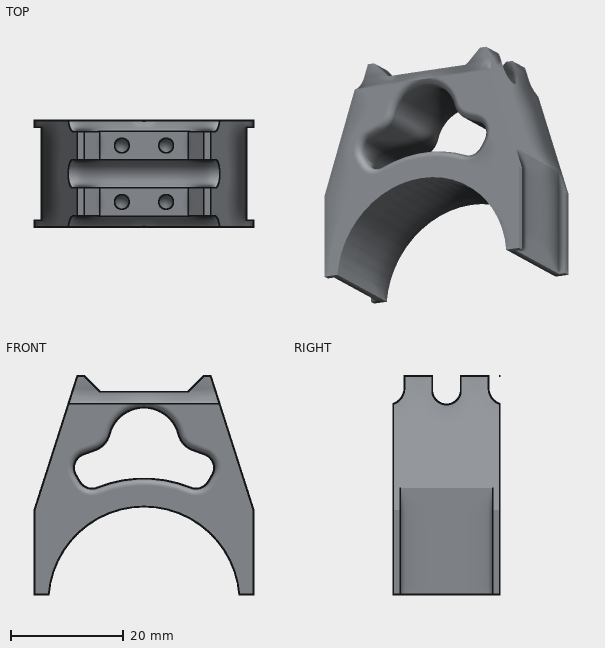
import cadquery as cq
import math

width = 39.09
depth = 19.05
height = 39.0

shoulder_height = 15.1
top_half_width = 11.9
floor_drop = 2.8
horn_top_width = 1.25
floor_height = height - floor_drop
horn_inner_x = top_half_width - horn_top_width
floor_half_width = horn_inner_x - floor_drop

bore_radius = 17.03
bore_center_z = -1.35

flange_thickness = 1.25
recess_depth = 1.25

middle_groove_radius = 2.54
middle_groove_center_z = height - middle_groove_radius
land_outer_y = 7.52
end_groove_radius = 2.95
end_groove_center_y = land_outer_y + end_groove_radius
end_groove_center_z = 36.8

dimple_radius = 1.3
dimple_x = 3.95
dimple_y = (middle_groove_radius + land_outer_y) / 2

dome_radius = 6.33
dome_center_z = 27.0
arch_radius = 22.07
lobe_radius = 2.54
lower_lobe_x = 9.25
upper_lobe_x = 9.93
upper_lobe_z = 22.6
brow_angle = math.radians(20)
neck_radius = 4.1
window_fillet = 1.27

chip_size = 0.05


def along(start, direction, distance):
    return (start[0] + distance * direction[0], start[1] + distance * direction[1])


def unit(start, end):
    length = math.dist(start, end)
    return ((end[0] - start[0]) / length, (end[1] - start[1]) / length)


def arc_middle(center, radius, start, end):
    """Middle of the shorter arc from start to end about center."""
    chord_middle = ((start[0] + end[0]) / 2, (start[1] + end[1]) / 2)
    return along(center, unit(center, chord_middle), radius)


def mirrored(point):
    return (-point[0], point[1])


def extrude_along_y(outline):
    """Extrude an outline on the XZ plane over the full depth, centred on Y = 0."""
    return outline.extrude(depth / 2, both=True)


def make_outer_block():
    right_side = [
        (width / 2, 0),
        (width / 2, shoulder_height),
        (top_half_width, height),
        (horn_inner_x, height),
        (floor_half_width, floor_height),
    ]
    left_side = [mirrored(point) for point in reversed(right_side)]
    return extrude_along_y(cq.Workplane("XZ").polyline(right_side + left_side).close())


def make_bore():
    return extrude_along_y(cq.Workplane("XZ").center(0, bore_center_z).circle(bore_radius))


def make_window():
    bore_center = (0, bore_center_z)
    dome_center = (0, dome_center_z)

    lower_reach = arch_radius + lobe_radius
    lower_lobe = (lower_lobe_x, bore_center_z + math.sqrt(lower_reach**2 - lower_lobe_x**2))
    upper_lobe = (upper_lobe_x, upper_lobe_z)

    brow_normal = (math.sin(brow_angle), math.cos(brow_angle))
    brow_inward = (-math.cos(brow_angle), math.sin(brow_angle))
    neck_base = along(upper_lobe, brow_normal, lobe_radius + neck_radius)
    to_dome = (dome_center[0] - neck_base[0], dome_center[1] - neck_base[1])
    foot = to_dome[0] * brow_inward[0] + to_dome[1] * brow_inward[1]
    offset = to_dome[0] * brow_normal[0] + to_dome[1] * brow_normal[1]
    neck_run = foot - math.sqrt((dome_radius + neck_radius) ** 2 - offset**2)
    neck_center = along(neck_base, brow_inward, neck_run)

    arch_end = along(bore_center, unit(bore_center, lower_lobe), arch_radius)
    lobe_axis = unit(lower_lobe, upper_lobe)
    side_normal = (lobe_axis[1], -lobe_axis[0])
    side_bottom = along(lower_lobe, side_normal, lobe_radius)
    side_top = along(upper_lobe, side_normal, lobe_radius)
    brow_outer = along(upper_lobe, brow_normal, lobe_radius)
    brow_inner = along(neck_center, brow_normal, -neck_radius)
    dome_end = along(dome_center, unit(dome_center, neck_center), dome_radius)

    lower_middle = arc_middle(lower_lobe, lobe_radius, arch_end, side_bottom)
    upper_middle = arc_middle(upper_lobe, lobe_radius, side_top, brow_outer)
    neck_middle = arc_middle(neck_center, neck_radius, brow_inner, dome_end)
    dome_top = (0, dome_center_z + dome_radius)
    arch_top = (0, bore_center_z + arch_radius)

    outline = (
        cq.Workplane("XZ")
        .moveTo(*arch_end)
        .threePointArc(lower_middle, side_bottom)
        .lineTo(*side_top)
        .threePointArc(upper_middle, brow_outer)
        .lineTo(*brow_inner)
        .threePointArc(neck_middle, dome_end)
        .threePointArc(dome_top, mirrored(dome_end))
        .threePointArc(mirrored(neck_middle), mirrored(brow_inner))
        .lineTo(*mirrored(brow_outer))
        .threePointArc(mirrored(upper_middle), mirrored(side_top))
        .lineTo(*mirrored(side_bottom))
        .threePointArc(mirrored(lower_middle), mirrored(arch_end))
        .threePointArc(arch_top, arch_end)
        .close()
    )
    return extrude_along_y(outline)


def cut_filleted_window(body):
    """Cut the window and round its rim on both end faces."""
    window = make_window()
    body = body.cut(window)
    rim_edges = [
        edge
        for face in body.faces("<Y or >Y").vals()
        for wire in face.innerWires()
        for edge in wire.Edges()
    ]
    return body.newObject(rim_edges).fillet(window_fillet)


def make_side_recess(side):
    recess_width = depth - 2 * flange_thickness
    floor_x = width / 2 - recess_depth
    return (
        cq.Workplane("XY")
        .box(recess_depth, recess_width, height, centered=(True, True, False))
        .translate((side * (floor_x + recess_depth / 2), 0, 0))
    )


def make_groove(center_y, center_z, radius):
    return (
        cq.Workplane("YZ")
        .moveTo(center_y - radius, height)
        .lineTo(center_y - radius, center_z)
        .threePointArc((center_y, center_z - radius), (center_y + radius, center_z))
        .lineTo(center_y + radius, height)
        .close()
        .extrude(width / 2, both=True)
    )


def make_dimple(center_x, center_y):
    return cq.Workplane("XY").sphere(dimple_radius).translate((center_x, center_y, floor_height))


def make_saddle():
    body = make_outer_block().cut(make_bore())
    body = cut_filleted_window(body)
    for side in (-1, 1):
        body = body.cut(make_side_recess(side))
    body = body.cut(make_groove(0, middle_groove_center_z, middle_groove_radius))
    for center_y in (-end_groove_center_y, end_groove_center_y):
        body = body.cut(make_groove(center_y, end_groove_center_z, end_groove_radius))
    for center_x in (-dimple_x, dimple_x):
        for center_y in (-dimple_y, dimple_y):
            body = body.cut(make_dimple(center_x, center_y))
    return body.solids()


def make_chip():
    return (
        cq.Workplane("XY")
        .box(chip_size, chip_size, chip_size, centered=False)
        .translate((-top_half_width, depth / 2 - chip_size, height - chip_size))
    )


saddle = make_saddle()
chip = make_chip()
result = cq.Compound.makeCompound([saddle.val(), chip.val()])